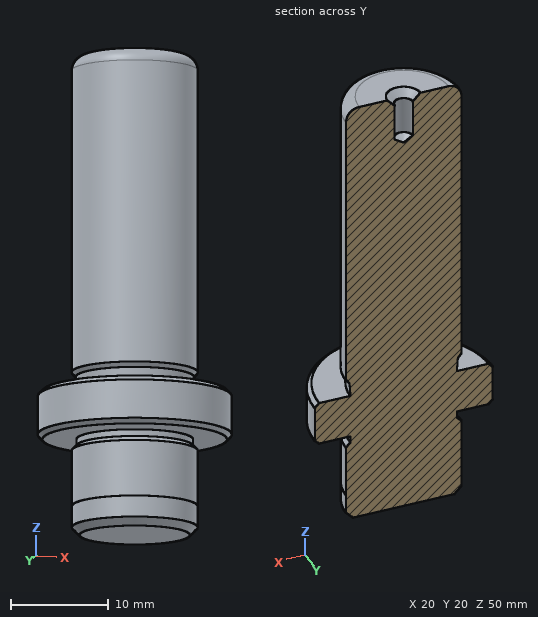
import cadquery as cq
import math

total_height = 50.0
pilot_top = 3.0
flange_bottom = 10.0
flange_thickness = 5.0
flange_top = flange_bottom + flange_thickness

seat_radius = 13.0 / 2
shaft_radius = 12.99 / 2
pilot_radius = 12.97 / 2
flange_radius = 20.0 / 2
flange_chamfer = 0.5

upper_groove_root_radius = 6.0
upper_groove_top_radius = 6.1
upper_groove_width = 1.5
upper_groove_chamfer_height = 0.5
upper_groove_top = flange_top + upper_groove_width

lower_groove_radius = 6.0
lower_groove_width = 0.7
lower_groove_chamfer = seat_radius - lower_groove_radius
lower_groove_bottom = flange_bottom - lower_groove_width

tip_fillet = 1.5
base_chamfer = 0.8

hole_radius = 1.0
hole_depth = 5.0
countersink_radius = 1.85
countersink_depth = countersink_radius - hole_radius
drill_point_angle = 118.0


def revolve_about_z(outline):
    """Close a (radius, height) outline and turn it about the Z axis."""
    return outline.close().revolve(360, (0, 0, 0), (0, 1, 0))


def make_pin():
    """Turned body, outlined from the bottom face up to the rounded tip."""
    fillet_offset = tip_fillet * math.sin(math.radians(45))
    fillet_center_radius = shaft_radius - tip_fillet
    fillet_center_height = total_height - tip_fillet
    outline = (
        cq.Workplane("XZ")
        .lineTo(pilot_radius - base_chamfer, 0)
        .lineTo(pilot_radius, base_chamfer)
        .lineTo(pilot_radius, pilot_top)
        .lineTo(seat_radius, pilot_top)
        .lineTo(seat_radius, lower_groove_bottom - lower_groove_chamfer)
        .lineTo(lower_groove_radius, lower_groove_bottom)
        .lineTo(lower_groove_radius, flange_bottom)
        .lineTo(flange_radius - flange_chamfer, flange_bottom)
        .lineTo(flange_radius, flange_bottom + flange_chamfer)
        .lineTo(flange_radius, flange_top - flange_chamfer)
        .lineTo(flange_radius - flange_chamfer, flange_top)
        .lineTo(upper_groove_root_radius, flange_top)
        .lineTo(upper_groove_top_radius, upper_groove_top)
        .lineTo(shaft_radius, upper_groove_top + upper_groove_chamfer_height)
        .lineTo(shaft_radius, fillet_center_height)
        .threePointArc(
            (fillet_center_radius + fillet_offset, fillet_center_height + fillet_offset),
            (fillet_center_radius, total_height),
        )
        .lineTo(0, total_height)
    )
    return revolve_about_z(outline)


def make_center_hole():
    """Countersunk blind hole with a conical drill point."""
    point_height = hole_radius / math.tan(math.radians(drill_point_angle / 2))
    hole_bottom = total_height - hole_depth
    outline = (
        cq.Workplane("XZ")
        .moveTo(0, total_height)
        .lineTo(countersink_radius, total_height)
        .lineTo(hole_radius, total_height - countersink_depth)
        .lineTo(hole_radius, hole_bottom)
        .lineTo(0, hole_bottom - point_height)
    )
    return revolve_about_z(outline)


result = make_pin().cut(make_center_hole())